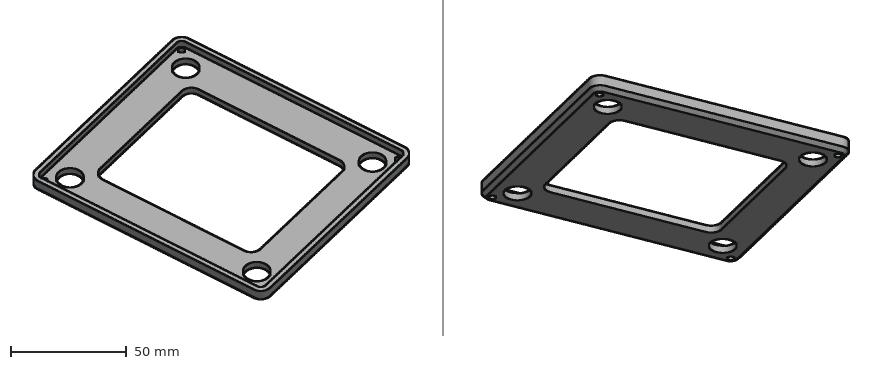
import cadquery as cq

length = 125.6
width = 110.7
height = 7.0
corner_radius = 5.0
bottom_chamfer = 2.0

rim_width = 2.5
recess_depth = 3.5
recess_radius = corner_radius - rim_width

window_length = 85.7
window_width = 70.1
window_radius = 5.0

large_hole_diameter = 12.0
large_hole_spacing = (100.0, 85.0)
small_hole_diameter = 3.1
small_hole_spacing = (116.0, 101.1)


def rounded_block(size_x, size_y, size_z, radius):
    """Block standing on Z = 0 with rounded vertical edges."""
    block = cq.Workplane("XY").box(size_x, size_y, size_z, centered=(True, True, False))
    return block.edges("|Z").fillet(radius)


def corner_holes(spacing, diameter):
    """Four full-height cylinders at the corners of a rectangle."""
    centres = cq.Workplane("XY").rect(*spacing, forConstruction=True).vertices()
    return centres.circle(diameter / 2).extrude(height)


plate = rounded_block(length, width, height, corner_radius)
plate = plate.faces("<Z").edges().chamfer(bottom_chamfer)

recess = rounded_block(
    length - 2 * rim_width, width - 2 * rim_width, recess_depth, recess_radius
).translate((0, 0, height - recess_depth))

window = rounded_block(window_length, window_width, height, window_radius)

result = (
    plate.cut(recess)
    .cut(window)
    .cut(corner_holes(large_hole_spacing, large_hole_diameter))
    .cut(corner_holes(small_hole_spacing, small_hole_diameter))
)